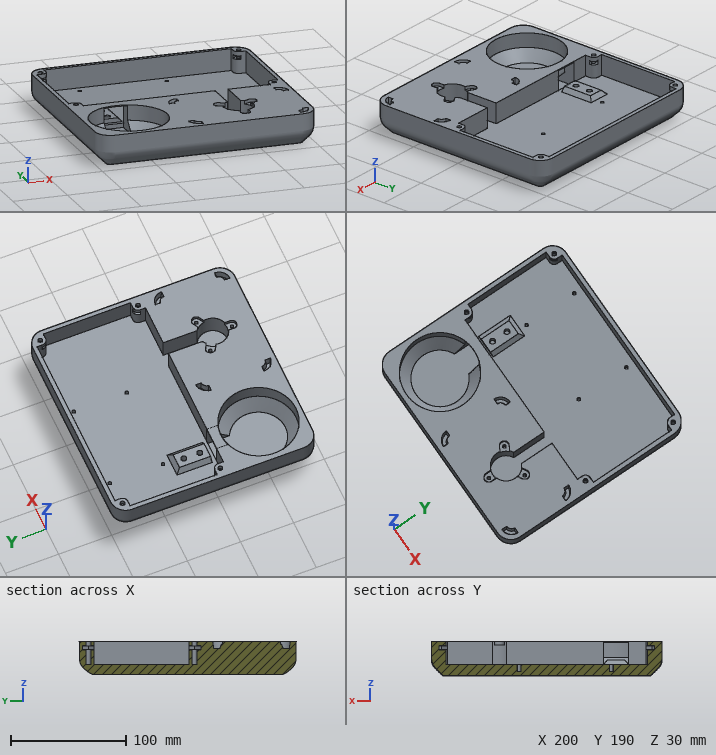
import cadquery as cq
import math

LENGTH = 200.0
WIDTH = 190.0
HEIGHT = 30.0
CORNER_RADIUS = 14.0
BOTTOM_CHAMFER = 10.0
CHAMFER_BLEND_RADIUS = 10.0
EDGE_PICK_MARGIN = 0.2

WALL = 4.0
FLOOR_Z = 10.0
POCKET_LENGTH = LENGTH - 2 * WALL
POCKET_BACK_Y = WIDTH / 2 - WALL
POCKET_FRONT_Y = -11.0
POCKET_WIDTH = POCKET_BACK_Y - POCKET_FRONT_Y
POCKET_CENTER_Y = (POCKET_BACK_Y + POCKET_FRONT_Y) / 2

POST_SIZE = 10.0
POST_RADIUS = POST_SIZE / 2
POST_HOLE_DIAMETER = 4.0
NUT_SLOT_WIDTH = 7.2
NUT_SLOT_HEIGHT = 3.2
NUT_SLOT_TOP_DEPTH = 4.0

BOARD_HOLE_DIAMETER = 3.0
BOARD_HOLE_DEPTH = 6.0
BOARD_HOLE_XS = (-56.0, 24.0)
BOARD_HOLE_YS = (33.0, 83.0)

BOWL_X = -60.0
BOWL_Y = -55.2
BOWL_DIAMETER = 70.5
BOWL_FLOOR_Z = 6.0
BOWL_CONE_HEIGHT = 10.0
BOWL_FLOOR_DIAMETER = BOWL_DIAMETER - 2 * BOWL_CONE_HEIGHT

PASSAGE_WIDTH = 21.5
PASSAGE_ROOF = 1.0

BLOCK_TOP_WIDTH = 14.2
BLOCK_HEIGHT = 4.0
BLOCK_FRONT_Y = -7.0
BLOCK_TOP_BACK_Y = 22.2
BLOCK_HOLE_DIAMETER = 5.0
BLOCK_HOLE_SPACING = 15.0
BLOCK_HOLE_DEPTH = 8.0

MOTOR_X = 41.0
MOTOR_Y = BOWL_Y
MOTOR_DIAMETER = 27.2
CHANNEL_WIDTH = 12.0
TAB_ANGLES = (30, 150, 270)
TAB_HOLE_OFFSET = 18.0
TAB_WIDTH = 8.5
TAB_DEPTH = 3.0
TAB_HOLE_DIAMETER = 3.0
TAB_HOLE_DEPTH = 6.0

RING_OUTER_RADIUS = 10.0
RING_INNER_RADIUS = 5.0
RING_SPACING_X = 89.5
RING_SPACING_Y = 50.0
RING_DEPTH = 6.0
RING_TAPER = 8.0


def box(width, depth, bottom, top, x, y):
    """Upright box centred on (x, y), from height bottom to height top."""
    return (
        cq.Workplane("XY", origin=(x, y, bottom))
        .rect(width, depth)
        .extrude(top - bottom)
    )


def cylinder(diameter, bottom, top, x, y):
    """Upright cylinder centred on (x, y), from height bottom to height top."""
    return cq.Workplane("XY", origin=(x, y, bottom)).circle(diameter / 2).extrude(top - bottom)


def outer_body():
    """Rounded block with a chamfered bottom that blends into the upright sides."""
    body = box(LENGTH, WIDTH, 0, HEIGHT, 0, 0).edges("|Z").fillet(CORNER_RADIUS)
    body = body.faces("<Z").chamfer(BOTTOM_CHAMFER)
    lower_rim = cq.selectors.BoxSelector(
        (-LENGTH, -WIDTH, BOTTOM_CHAMFER - EDGE_PICK_MARGIN),
        (LENGTH, WIDTH, BOTTOM_CHAMFER + EDGE_PICK_MARGIN),
    )
    return body.edges(lower_rim).fillet(CHAMFER_BLEND_RADIUS)


def post_corners():
    """Pocket corners with the directions that point from each into the pocket."""
    for side_x in (-1, 1):
        yield side_x * POCKET_LENGTH / 2, POCKET_BACK_Y, -side_x, -1
        yield side_x * POCKET_LENGTH / 2, POCKET_FRONT_Y, -side_x, 1


def main_pocket():
    """Volume of the main pocket, leaving a rounded post in each corner."""
    pocket = box(POCKET_LENGTH, POCKET_WIDTH, FLOOR_Z, HEIGHT, 0, POCKET_CENTER_Y)
    for corner_x, corner_y, in_x, in_y in post_corners():
        post_x = corner_x + in_x * POST_SIZE / 2
        post_y = corner_y + in_y * POST_SIZE / 2
        post = box(POST_SIZE, POST_SIZE, FLOOR_Z, HEIGHT, post_x, post_y)
        inner_edge = cq.selectors.NearestToPointSelector(
            (corner_x + in_x * POST_SIZE, corner_y + in_y * POST_SIZE, (FLOOR_Z + HEIGHT) / 2)
        )
        pocket = pocket.cut(post.edges("|Z").edges(inner_edge).fillet(POST_RADIUS))
    return pocket


def cut_post_holes(body):
    """Screw hole in each post, with a nut slot open towards the pocket."""
    slot_top = HEIGHT - NUT_SLOT_TOP_DEPTH
    slot_bottom = slot_top - NUT_SLOT_HEIGHT
    slot_start = -NUT_SLOT_WIDTH / 2
    slot_length = POST_SIZE - slot_start
    for corner_x, corner_y, in_x, in_y in post_corners():
        hole_x = corner_x + in_x * POST_SIZE / 2
        hole_y = corner_y + in_y * POST_SIZE / 2
        body = body.cut(cylinder(POST_HOLE_DIAMETER, FLOOR_Z, HEIGHT, hole_x, hole_y))
        slot = box(slot_length, NUT_SLOT_WIDTH, slot_bottom, slot_top, slot_start + slot_length / 2, 0)
        slot = slot.rotate((0, 0, 0), (0, 0, 1), math.degrees(math.atan2(in_y, in_x)))
        body = body.cut(slot.translate((hole_x, hole_y, 0)))
    return body


def cut_board_holes(body):
    """Blind holes in the pocket floor."""
    for x in BOARD_HOLE_XS:
        for y in BOARD_HOLE_YS:
            body = body.cut(cylinder(BOARD_HOLE_DIAMETER, FLOOR_Z - BOARD_HOLE_DEPTH, FLOOR_Z, x, y))
    return body


def bowl():
    """Volume of the bowl: a cylinder above a cone with a flat floor."""
    profile = [
        (0, BOWL_FLOOR_Z),
        (BOWL_FLOOR_DIAMETER / 2, BOWL_FLOOR_Z),
        (BOWL_DIAMETER / 2, BOWL_FLOOR_Z + BOWL_CONE_HEIGHT),
        (BOWL_DIAMETER / 2, HEIGHT),
        (0, HEIGHT),
    ]
    return (
        cq.Workplane("XZ")
        .polyline(profile)
        .close()
        .revolve(360, (0, 0, 0), (0, 1, 0))
        .translate((BOWL_X, BOWL_Y, 0))
    )


def passage():
    """Volume of the covered passage between the bowl and the main pocket."""
    length = POCKET_FRONT_Y - BOWL_Y
    center_y = (POCKET_FRONT_Y + BOWL_Y) / 2
    return box(PASSAGE_WIDTH, length, BOWL_FLOOR_Z, HEIGHT - PASSAGE_ROOF, BOWL_X, center_y)


def add_block(body):
    """Block with 45 degree slopes on its back and sides, and two holes along its top."""
    half_top = BLOCK_TOP_WIDTH / 2
    half_base = half_top + BLOCK_HEIGHT
    top_length = BLOCK_TOP_BACK_Y - BLOCK_FRONT_Y
    base_length = top_length + BLOCK_HEIGHT
    block = (
        cq.Workplane("XZ", origin=(BOWL_X, BLOCK_FRONT_Y, FLOOR_Z))
        .polyline([(-half_base, 0), (half_base, 0), (half_top, BLOCK_HEIGHT), (-half_top, BLOCK_HEIGHT)])
        .close()
        .extrude(-base_length)
    )
    side_profile = (
        cq.Workplane("YZ", origin=(BOWL_X, BLOCK_FRONT_Y, FLOOR_Z))
        .polyline([(0, 0), (base_length, 0), (top_length, BLOCK_HEIGHT), (0, BLOCK_HEIGHT)])
        .close()
        .extrude(half_base, both=True)
    )
    block = block.intersect(side_profile)
    body = body.union(block)
    top_z = FLOOR_Z + BLOCK_HEIGHT
    middle_y = BLOCK_FRONT_Y + top_length / 2
    for side in (-1, 1):
        hole_y = middle_y + side * BLOCK_HOLE_SPACING / 2
        body = body.cut(cylinder(BLOCK_HOLE_DIAMETER, top_z - BLOCK_HOLE_DEPTH, top_z, BOWL_X, hole_y))
    return body


def cut_motor_recess(body):
    """Round recess joined to the pocket by a channel, with three shallow screw tabs."""
    channel_length = POCKET_FRONT_Y - MOTOR_Y
    channel_y = (POCKET_FRONT_Y + MOTOR_Y) / 2
    body = body.cut(cylinder(MOTOR_DIAMETER, FLOOR_Z, HEIGHT, MOTOR_X, MOTOR_Y))
    body = body.cut(box(CHANNEL_WIDTH, channel_length, FLOOR_Z, HEIGHT, MOTOR_X, channel_y))
    tab_z = HEIGHT - TAB_DEPTH
    tab = box(TAB_HOLE_OFFSET, TAB_WIDTH, tab_z, HEIGHT, TAB_HOLE_OFFSET / 2, 0)
    tab = tab.union(cylinder(TAB_WIDTH, tab_z, HEIGHT, TAB_HOLE_OFFSET, 0))
    tab = tab.union(cylinder(TAB_HOLE_DIAMETER, tab_z - TAB_HOLE_DEPTH, tab_z, TAB_HOLE_OFFSET, 0))
    for angle in TAB_ANGLES:
        turned = tab.rotate((0, 0, 0), (0, 0, 1), angle)
        body = body.cut(turned.translate((MOTOR_X, MOTOR_Y, 0)))
    return body


def ring_slot():
    """Quarter ring around the origin, tapered towards its floor, sunk from the top face."""
    diagonal = math.sqrt(0.5)
    return (
        cq.Workplane("XY", origin=(0, 0, HEIGHT))
        .moveTo(RING_INNER_RADIUS, 0)
        .lineTo(RING_OUTER_RADIUS, 0)
        .threePointArc((RING_OUTER_RADIUS * diagonal, RING_OUTER_RADIUS * diagonal), (0, RING_OUTER_RADIUS))
        .lineTo(0, RING_INNER_RADIUS)
        .threePointArc((RING_INNER_RADIUS * diagonal, RING_INNER_RADIUS * diagonal), (RING_INNER_RADIUS, 0))
        .close()
        .extrude(-RING_DEPTH, taper=RING_TAPER)
    )


def cut_ring_slots(body):
    """One quarter-ring slot at each corner, curving around the outside of the rectangle."""
    for turn, side_x, side_y in ((0, 1, 1), (90, -1, 1), (180, -1, -1), (270, 1, -1)):
        slot = ring_slot().rotate((0, 0, 0), (0, 0, 1), turn)
        slot_x = MOTOR_X + side_x * RING_SPACING_X / 2
        slot_y = MOTOR_Y + side_y * RING_SPACING_Y / 2
        body = body.cut(slot.translate((slot_x, slot_y, 0)))
    return body


result = outer_body().cut(main_pocket())
result = cut_post_holes(result)
result = cut_board_holes(result)
result = result.cut(bowl()).cut(passage())
result = add_block(result)
result = cut_motor_recess(result)
result = cut_ring_slots(result)